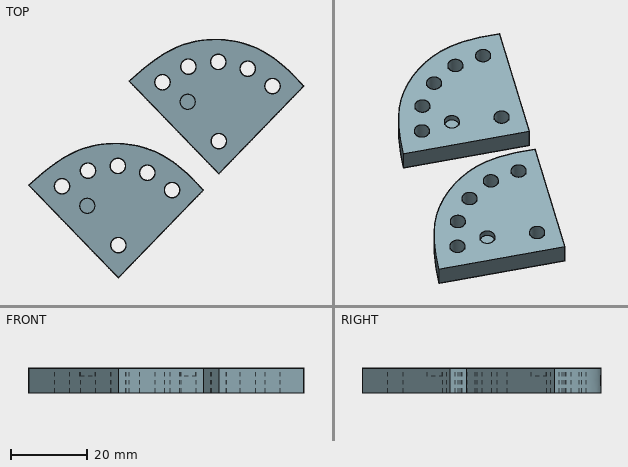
import cadquery as cq
import math

thickness = 6.6
left_corner = (-23.6, 24.4)
right_corner = (22.35, 23.1)
arc_center = (-0.9, 8.6)
outer_radius = 26.8

hole_diameter = 4.0
hole_pitch_angle = 22.0
hole_count = 5
first_hole_angle = 44.0
hole_circle_radius = 20.85
pivot_position = (0.0, arc_center[1])
blind_hole_position = (-8.2, 18.95)
blind_hole_depth = 2.0

row_angles = [first_hole_angle + i * hole_pitch_angle for i in range(hole_count)]

plate_spacing = (26.4, 27.35)
plate_origins = [(0.0, 0.0), plate_spacing]


def point_about_arc_center(radius, angle):
    """Point at a radius and an angle in degrees about the arc center."""
    return (
        arc_center[0] + radius * math.cos(math.radians(angle)),
        arc_center[1] + radius * math.sin(math.radians(angle)),
    )


def plate_blank():
    """Four-sided plate whose far corner is a smooth curve between the side corners."""
    edge_points = [point_about_arc_center(outer_radius, angle) for angle in row_angles]
    return (
        cq.Workplane("XY")
        .moveTo(0, 0)
        .lineTo(*right_corner)
        .spline(edge_points + [left_corner], includeCurrent=True)
        .close()
        .extrude(thickness)
    )


def through_holes():
    """Pivot hole and the row of holes that follows the rounded edge."""
    row = [point_about_arc_center(hole_circle_radius, angle) for angle in row_angles]
    return (
        cq.Workplane("XY")
        .pushPoints([pivot_position] + row)
        .circle(hole_diameter / 2)
        .extrude(thickness)
    )


def blind_hole():
    """Flat-bottomed hole sunk from the top face."""
    return (
        cq.Workplane("XY", origin=(0, 0, thickness))
        .center(*blind_hole_position)
        .circle(hole_diameter / 2)
        .extrude(-blind_hole_depth)
    )


def index_plate(origin):
    """One complete plate with its pointed corner at the given place."""
    plate = plate_blank().cut(through_holes()).cut(blind_hole())
    return plate.translate((*origin, 0))


plates = [index_plate(origin) for origin in plate_origins]

result = cq.Compound.makeCompound([plate.val() for plate in plates])